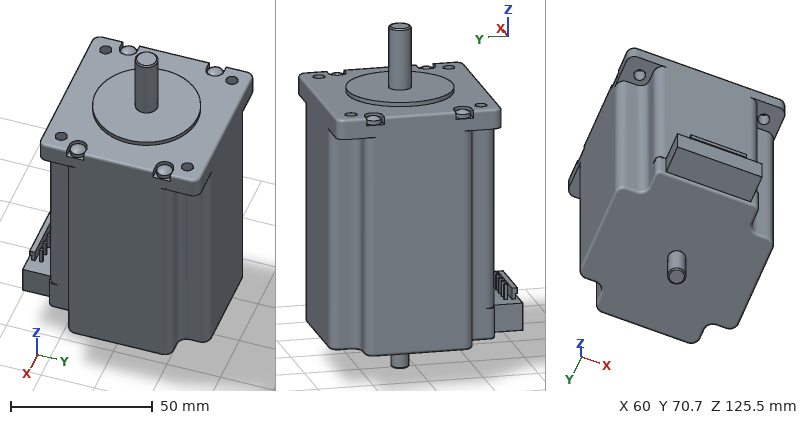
import cadquery as cq


width = 60.0
half_width = width / 2
motor_length = 88.0
flange_thickness = 7.2
flange_corner_radius = 3.0
edge_radius = 1.0
flange_bottom = motor_length - flange_thickness

recess_depth = 10.4
recess_radius = 3.4
recess_edge = half_width - recess_depth

pilot_diameter = 38.2
pilot_height = 1.5
front_shaft_diameter = 8.0
front_shaft_length = 24.0
rear_shaft_diameter = 6.4
rear_shaft_length = 13.5
shaft_chamfer = 0.5

hole_diameter = 4.1
hole_offset = 23.6
screw_x = 26.7
screw_y = 16.2
screw_pocket_width = 6.4
screw_pocket_depth = 2.6
screw_head_diameter = 5.6
screw_side_height = 1.5
screw_dome_height = 1.0
dome_radius = ((screw_head_diameter / 2) ** 2 + screw_dome_height**2) / (2 * screw_dome_height)

connector_width = 32.1
connector_bottom = 1.5
connector_height = 10
connector_reach = 10.7
connector_top = connector_bottom + connector_height
connector_face = -half_width - connector_reach
connector_overlap = 1.3
pad_edge_radius = 1.9

contact_center_x = -0.1
pin_count = 6
pin_row_length = 19.7
pin_pitch = pin_row_length / (pin_count - 1)
pin_size = 1.1
pin_height = 5.5
pin_y = -35.9
latch_width = 21.2
latch_height = 4.1
latch_lip_height = 2.1
latch_thickness = 2.0
latch_stem_thickness = 1.3
latch_back_y = -38.0


def box(x_range, y_range, z_range):
    """Box between the given limits on each axis."""
    size = [high - low for low, high in (x_range, y_range, z_range)]
    corner = (x_range[0], y_range[0], z_range[0])
    return cq.Workplane("XY").box(*size, centered=False).translate(corner)


def make_body():
    """Square column whose four corners have a rounded step, with a rounded rear edge."""
    recess_spacing = width - recess_depth
    column = cq.Workplane("XY").rect(width, width).extrude(flange_bottom)
    corners = (
        cq.Workplane("XY")
        .rect(recess_spacing, recess_spacing, forConstruction=True)
        .vertices()
        .rect(recess_depth, recess_depth)
        .extrude(flange_bottom)
    )
    body = column.cut(corners).edges("|Z").fillet(recess_radius)

    pad = (
        cq.Workplane("XY")
        .center(0, -half_width + recess_depth / 2)
        .rect(2 * recess_edge, recess_depth)
        .extrude(connector_top)
        .edges("|Z and <Y")
        .fillet(pad_edge_radius)
    )
    body = body.union(pad)
    return body.faces("<Z").edges().fillet(edge_radius)


def make_screw_head(x, y):
    """Domed screw head standing on the floor of its pocket."""
    radius = screw_head_diameter / 2
    return (
        cq.Workplane("XZ")
        .lineTo(radius, 0)
        .lineTo(radius, screw_side_height)
        .radiusArc((0, screw_side_height + screw_dome_height), -dome_radius)
        .close()
        .revolve(360, (0, 0), (0, 1))
        .translate((x, y, motor_length - screw_pocket_depth))
    )


def make_flange():
    """Square front flange with mounting holes and four screws sunk in side pockets."""
    flange = (
        cq.Workplane("XY")
        .workplane(offset=flange_bottom)
        .rect(width, width)
        .extrude(flange_thickness)
        .edges("|Z")
        .fillet(flange_corner_radius)
        .faces(">Z")
        .edges()
        .fillet(edge_radius)
        .faces(">Z")
        .workplane()
        .rect(2 * hole_offset, 2 * hole_offset, forConstruction=True)
        .vertices()
        .hole(hole_diameter)
    )
    for side in (-1, 1):
        for y in (-screw_y, screw_y):
            pocket = (
                cq.Workplane("XY")
                .workplane(offset=motor_length - screw_pocket_depth)
                .center(side * half_width, y)
                .slot2D(2 * (half_width - screw_x) + screw_pocket_width, screw_pocket_width)
                .extrude(screw_pocket_depth)
            )
            flange = flange.cut(pocket).union(make_screw_head(side * screw_x, y))
    return flange


def make_shafts():
    """Pilot disc with the front shaft, and the thinner rear shaft, as two solids."""
    pilot = (
        cq.Workplane("XY")
        .workplane(offset=motor_length)
        .circle(pilot_diameter / 2)
        .extrude(pilot_height)
    )
    front = (
        cq.Workplane("XY")
        .workplane(offset=motor_length)
        .circle(front_shaft_diameter / 2)
        .extrude(front_shaft_length)
        .faces(">Z")
        .chamfer(shaft_chamfer)
    )
    rear = (
        cq.Workplane("XY")
        .circle(rear_shaft_diameter / 2)
        .extrude(-rear_shaft_length)
        .faces("<Z")
        .chamfer(shaft_chamfer)
    )
    return pilot.union(front), rear


def make_connector():
    """Connector block with a row of square pins and a hooked latch strip."""
    block_x = (-connector_width / 2, connector_width / 2)
    block_y = (connector_face, -half_width + connector_overlap)
    connector = box(block_x, block_y, (connector_bottom, connector_top))

    for index in range(pin_count):
        pin_x = contact_center_x + (index - (pin_count - 1) / 2) * pin_pitch
        pin = (
            cq.Workplane("XY")
            .workplane(offset=connector_top)
            .center(pin_x, pin_y)
            .rect(pin_size, pin_size)
            .extrude(pin_height)
        )
        connector = connector.union(pin)

    latch_x = (contact_center_x - latch_width / 2, contact_center_x + latch_width / 2)
    latch_top = connector_top + latch_height
    stem_y = (latch_back_y - latch_stem_thickness, latch_back_y)
    lip_y = (latch_back_y - latch_thickness, latch_back_y)
    stem = box(latch_x, stem_y, (connector_top, latch_top))
    lip = box(latch_x, lip_y, (latch_top - latch_lip_height, latch_top))
    return connector.union(stem).union(lip)


front_end, rear_shaft = make_shafts()
result = make_body().union(make_flange()).union(front_end).union(rear_shaft).union(make_connector())